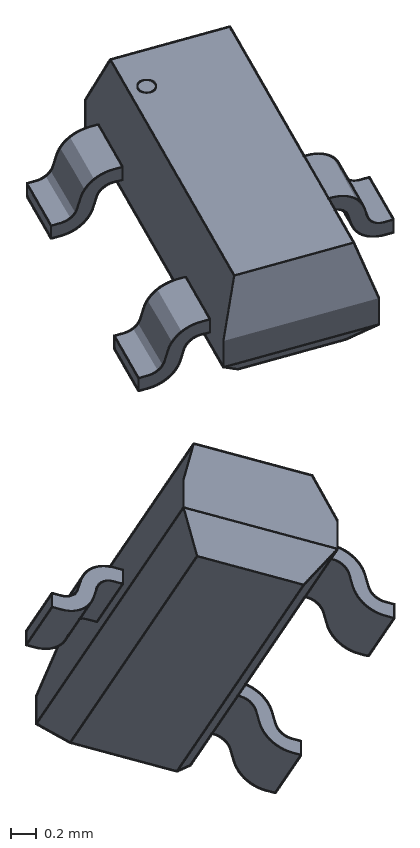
import cadquery as cq
import math


BODY_LENGTH = 2.9
BODY_WIDTH = 1.3
BODY_BOTTOM = 0.02
BAND_BOTTOM = 0.293
BAND_TOP = 0.57
BODY_TOP = 1.09
TOP_INSET = 0.15
BOTTOM_INSET = 0.2

OVERALL_WIDTH = 2.49
LEAD_WIDTH = 0.51
LEAD_THICKNESS = 0.14
LEAD_TOP = 0.56
LEAD_PITCH = 1.833
BEND_INNER_RADIUS = 0.142
BEND_ANGLE = 75.0
BEND_OUTER_RADIUS = BEND_INNER_RADIUS + LEAD_THICKNESS
LEAD_REACH = (OVERALL_WIDTH - BODY_WIDTH) / 2

MARKER_DIAMETER = 0.145
MARKER_DEPTH = 0.03
MARKER_X = -0.915
MARKER_Y = -0.348


def tapered_block(start_z, end_z, end_inset):
    """Frustum from the full body outline at start_z to an inset one at end_z."""
    return (
        cq.Workplane("XY", origin=(0, 0, start_z))
        .rect(BODY_LENGTH, BODY_WIDTH)
        .workplane(offset=end_z - start_z)
        .rect(BODY_LENGTH - 2 * end_inset, BODY_WIDTH - 2 * end_inset)
        .loft(ruled=True)
    )


def make_marker():
    return (
        cq.Workplane("XY", origin=(MARKER_X, MARKER_Y, BODY_TOP - MARKER_DEPTH))
        .circle(MARKER_DIAMETER / 2)
        .extrude(MARKER_DEPTH)
    )


def make_body(marker):
    band = (
        cq.Workplane("XY", origin=(0, 0, BAND_BOTTOM))
        .rect(BODY_LENGTH, BODY_WIDTH)
        .extrude(BAND_TOP - BAND_BOTTOM)
    )
    upper = tapered_block(BAND_TOP, BODY_TOP, TOP_INSET)
    lower = tapered_block(BAND_BOTTOM, BODY_BOTTOM, BOTTOM_INSET)
    return band.union(upper).union(lower).cut(marker)


def point_on_arc(center, radius, degrees):
    angle = math.radians(degrees)
    return (center[0] + radius * math.cos(angle), center[1] + radius * math.sin(angle))


def make_lead(x, side):
    """Gull-wing lead centred at x, on the +Y (side = 1) or -Y (side = -1) body face."""
    slope = math.radians(BEND_ANGLE)
    bend_radii = BEND_INNER_RADIUS + BEND_OUTER_RADIUS
    run_drop = LEAD_TOP - LEAD_THICKNESS - bend_radii * (1 - math.cos(slope))
    run_reach = run_drop / math.tan(slope)
    flat = (LEAD_REACH - bend_radii * math.sin(slope) - run_reach) / 2

    face_y = BODY_WIDTH / 2
    tip_y = face_y + LEAD_REACH
    shoulder = (face_y + flat, LEAD_TOP - BEND_OUTER_RADIUS)
    ankle = (tip_y - flat, BEND_OUTER_RADIUS)

    shoulder_end = 90 - BEND_ANGLE
    shoulder_middle = 90 - BEND_ANGLE / 2
    ankle_start = 270 - BEND_ANGLE
    ankle_middle = 270 - BEND_ANGLE / 2

    lead = (
        cq.Workplane("YZ", origin=(-LEAD_WIDTH / 2, 0, 0))
        .moveTo(face_y, LEAD_TOP)
        .lineTo(shoulder[0], LEAD_TOP)
        .threePointArc(
            point_on_arc(shoulder, BEND_OUTER_RADIUS, shoulder_middle),
            point_on_arc(shoulder, BEND_OUTER_RADIUS, shoulder_end),
        )
        .lineTo(*point_on_arc(ankle, BEND_INNER_RADIUS, ankle_start))
        .threePointArc(
            point_on_arc(ankle, BEND_INNER_RADIUS, ankle_middle),
            (ankle[0], LEAD_THICKNESS),
        )
        .lineTo(tip_y, LEAD_THICKNESS)
        .lineTo(tip_y, 0)
        .lineTo(ankle[0], 0)
        .threePointArc(
            point_on_arc(ankle, BEND_OUTER_RADIUS, ankle_middle),
            point_on_arc(ankle, BEND_OUTER_RADIUS, ankle_start),
        )
        .lineTo(*point_on_arc(shoulder, BEND_INNER_RADIUS, shoulder_end))
        .threePointArc(
            point_on_arc(shoulder, BEND_INNER_RADIUS, shoulder_middle),
            (shoulder[0], LEAD_TOP - LEAD_THICKNESS),
        )
        .lineTo(face_y, LEAD_TOP - LEAD_THICKNESS)
        .close()
        .extrude(LEAD_WIDTH)
    )
    if side < 0:
        lead = lead.mirror("XZ")
    return lead.translate((x, 0, 0))


marker = make_marker()
body = make_body(marker)

lead_places = [(-LEAD_PITCH / 2, -1), (LEAD_PITCH / 2, -1), (0, 1)]
leads = [make_lead(x, side).val() for x, side in lead_places]

result = cq.Compound.makeCompound([body.val(), marker.val(), *leads])